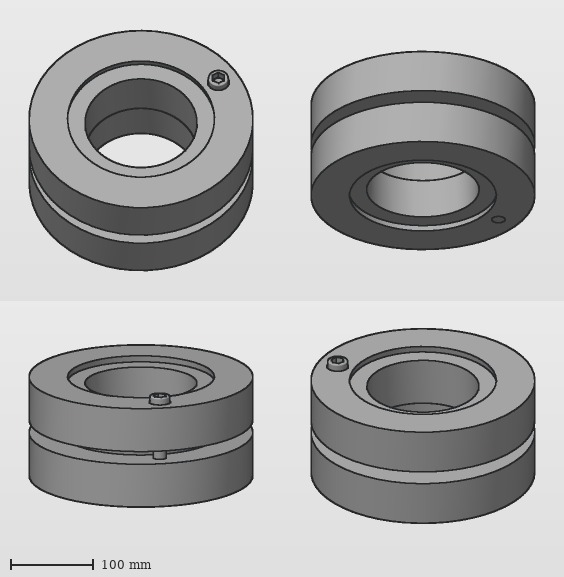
import cadquery as cq
import math

flange_diameter = 270.0
flange_height = 54.0
flange_gap = 16.0
stack_height = 2 * flange_height + flange_gap
middle_z = stack_height / 2

bore_diameter = 135.0
relief_diameter = 135.5
relief_top_z = 57.8
ring_height = 108.0
ring_bottom_z = middle_z - ring_height / 2
ring_top_z = middle_z + ring_height / 2
taper_middle_diameter = 194.5
taper_end_diameter = 176.8

screw_y = 109.0
screw_diameter = 16.0
head_diameter = 24.0
head_height = 16.0
head_projection = 8.0
head_fillet = 1.5
head_bottom_z = stack_height + head_projection - head_height
clearance_diameter = 18.0
counterbore_diameter = 26.0
socket_width = 14.0
socket_depth = 9.5
socket_tip_depth = 4.0


def cylinder(diameter, bottom_z, top_z, y=0):
    """Vertical cylinder between two heights."""
    disc = cq.Workplane("XY", origin=(0, y, bottom_z)).circle(diameter / 2)
    return disc.extrude(top_z - bottom_z)


def taper_radius(z):
    """Radius of the double taper, widest at the middle height."""
    radius_loss = (taper_middle_diameter - taper_end_diameter) / 2
    return taper_middle_diameter / 2 - radius_loss * abs(z - middle_z) / middle_z


def double_taper(bottom_z, top_z):
    """Solid of two cones meeting at their wide ends."""
    profile = [
        (0, bottom_z),
        (taper_radius(bottom_z), bottom_z),
        (taper_radius(middle_z), middle_z),
        (taper_radius(top_z), top_z),
        (0, top_z),
    ]
    return cq.Workplane("XZ").polyline(profile).close().revolve(360, (0, 0), (0, 1))


def make_flange(bottom_z):
    """Plain flange with a tapered seat for the inner ring."""
    blank = cylinder(flange_diameter, bottom_z, bottom_z + flange_height)
    return blank.cut(double_taper(0, stack_height))


def make_lower_flange():
    """Flange with a through hole that the screw shank fills."""
    screw_hole = cylinder(screw_diameter, 0, flange_height, screw_y)
    return make_flange(0).cut(screw_hole)


def make_upper_flange():
    """Flange with a counterbored clearance hole for the screw."""
    bottom_z = flange_height + flange_gap
    clearance = cylinder(clearance_diameter, bottom_z, stack_height, screw_y)
    counterbore = cylinder(counterbore_diameter, head_bottom_z, stack_height, screw_y)
    return make_flange(bottom_z).cut(clearance).cut(counterbore)


def make_ring():
    """Inner ring with a slightly relieved lower bore."""
    bore = cylinder(bore_diameter, ring_bottom_z, ring_top_z)
    relief = cylinder(relief_diameter, ring_bottom_z, relief_top_z)
    return double_taper(ring_bottom_z, ring_top_z).cut(bore).cut(relief)


def make_screw():
    """Socket head screw with a cone-bottomed hexagon socket."""
    top_z = head_bottom_z + head_height
    head = cylinder(head_diameter, head_bottom_z, top_z, screw_y).faces(">Z").fillet(head_fillet)
    shank = cylinder(screw_diameter, 0, head_bottom_z, screw_y)

    socket_floor_z = top_z - socket_depth
    corner_diameter = socket_width / math.cos(math.pi / 6)
    socket = (
        cq.Workplane("XY", origin=(0, screw_y, socket_floor_z))
        .transformed(rotate=(0, 0, 90))
        .polygon(6, corner_diameter)
        .extrude(socket_depth)
    )
    tip = cq.Solid.makeCone(
        socket_width / 2, 0, socket_tip_depth,
        pnt=cq.Vector(0, screw_y, socket_floor_z), dir=cq.Vector(0, 0, -1),
    )
    return head.union(shank).cut(socket).cut(cq.Workplane(tip))


lower_flange = make_lower_flange()
upper_flange = make_upper_flange()
ring = make_ring()
screw = make_screw()

result = cq.Compound.makeCompound([lower_flange.val(), upper_flange.val(), ring.val(), screw.val()])